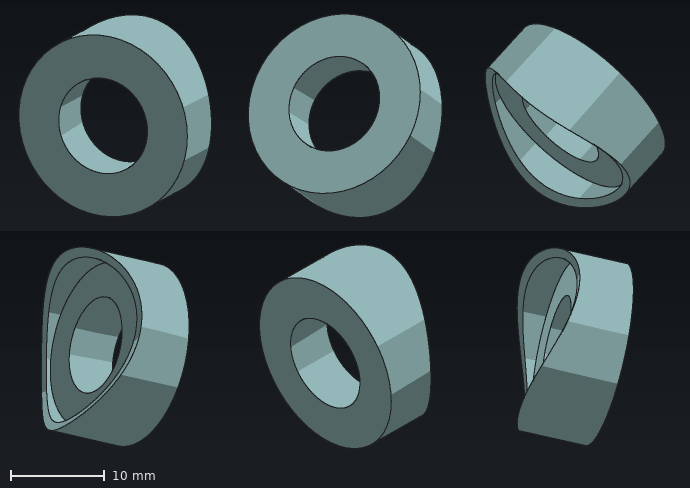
import cadquery as cq

outer_diameter = 20.0
bore_diameter = 10.5
bore_length = 5.5
recess_diameter = 18.0
min_length = 6.0
pipe_diameter = 33.7

pipe_radius = pipe_diameter / 2
pipe_axis_y = min_length + pipe_radius


def ring_blank():
    """Bored ring along +Y from its flat end at Y = 0, reaching the pipe axis."""
    return (
        cq.Workplane("XZ")
        .circle(outer_diameter / 2)
        .circle(bore_diameter / 2)
        .extrude(-pipe_axis_y)
    )


def saddle_cutter():
    """Pipe running along X, wide enough to span the whole ring."""
    return (
        cq.Workplane("YZ")
        .center(pipe_axis_y, 0)
        .circle(pipe_radius)
        .extrude(outer_diameter, both=True)
    )


def recess_cutter():
    """Round recess from the inner end of the bore out through the saddle."""
    return (
        cq.Workplane("XZ", origin=(0, bore_length, 0))
        .circle(recess_diameter / 2)
        .extrude(-pipe_axis_y)
    )


result = ring_blank().cut(saddle_cutter()).cut(recess_cutter())